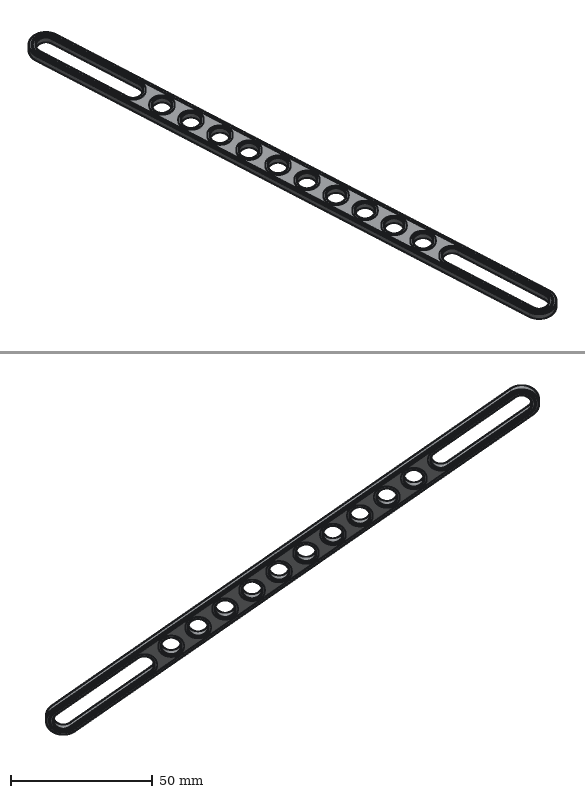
import cadquery as cq

pitch = 12.5
pitch_count = 18
thickness = pitch / 4
hole_count = 10
slot_travel_pitches = 3
hole_diameter = 7.0
collar_diameter = 9.2
recess_depth = 0.2
edge_chamfer = 0.3

length = pitch_count * pitch
width = pitch
rim_width = (collar_diameter - hole_diameter) / 2
end_center_x = (length - width) / 2
slot_travel = slot_travel_pitches * pitch
slot_center_x = end_center_x - slot_travel / 2
first_hole_x = -(hole_count - 1) * pitch / 2
hole_centers = [(first_hole_x + index * pitch, 0) for index in range(hole_count)]
slot_centers = [(-slot_center_x, 0), (slot_center_x, 0)]


def make_obround(travel, diameter, height, base_z=0):
    """Round-ended prism centred on the origin, with end centres `travel` apart along X."""
    return cq.Workplane("XY", origin=(0, 0, base_z)).slot2D(travel + diameter, diameter).extrude(height)


def make_openings(diameter, height, base_z=0):
    """All holes and slots as solid prisms of the given diameter or slot width."""
    base = cq.Workplane("XY", origin=(0, 0, base_z))
    holes = base.pushPoints(hole_centers).circle(diameter / 2).extrude(height)
    slots = base.pushPoints(slot_centers).slot2D(slot_travel + diameter, diameter).extrude(height)
    return holes.union(slots)


def make_chamfered_bar():
    """Round-ended bar with its through openings, chamfered on every edge of both faces."""
    bar = make_obround(length - width, width, thickness)
    bar = bar.cut(make_openings(hole_diameter, thickness))
    return bar.faces("|Z").edges().chamfer(edge_chamfer)


def make_face_recess(base_z):
    """Shallow recess inside the outer rim that leaves a raised collar around each opening."""
    recess = make_obround(length - width, width - 2 * rim_width, recess_depth, base_z)
    return recess.cut(make_openings(collar_diameter, recess_depth, base_z))


result = make_chamfered_bar()
for recess_base_z in (0, thickness - recess_depth):
    result = result.cut(make_face_recess(recess_base_z))